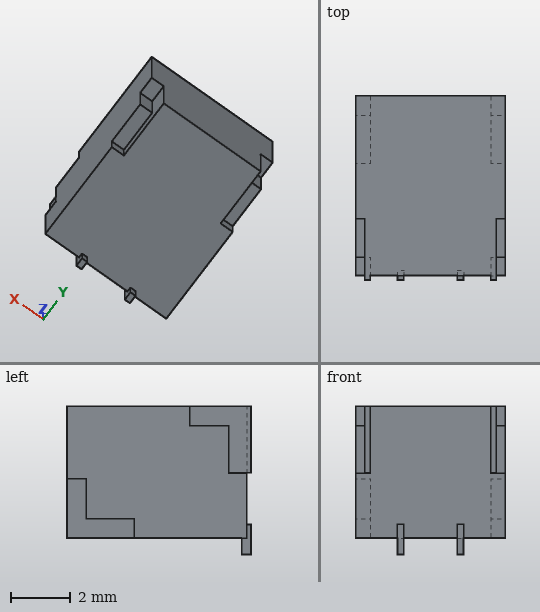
import cadquery as cq

WIDTH = 5.0
LENGTH = 6.15
HEIGHT = 4.95
BODY_LENGTH = 6.0
BODY_HEIGHT = 4.405
FRONT_Y = -LENGTH

PLATE_INSET = 0.3
PLATE_THICKNESS = 0.195
PLATE_ARM_LENGTH = 2.04
PLATE_LEG_HEIGHT = 2.225
PLATE_ARM_HEIGHT = 0.65
PLATE_LEG_WIDTH = 0.75
PLATE_CLEARANCE = 0.02

REAR_LEG_HEIGHT = 1.98
REAR_ARM_LENGTH = 2.25
REAR_LEG_WIDTH = 0.65
REAR_ARM_HEIGHT = 0.65

PIN_WIDTH = 0.215
PIN_DEPTH = 0.32
PIN_HEIGHT = 1.0
PIN_SPACING = 2.0
PIN_BOTTOM = BODY_HEIGHT - HEIGHT


def l_prism(corner, arm_tip, leg_tip, leg_inner, arm_inner, x_start, thickness):
    """Extrude an L in the YZ plane toward +X from its outer corner and arm limits."""
    corner_y, corner_z = corner
    outline = [
        corner,
        (arm_tip, corner_z),
        (arm_tip, arm_inner),
        (leg_inner, arm_inner),
        (leg_inner, leg_tip),
        (corner_y, leg_tip),
    ]
    return cq.Workplane("YZ").workplane(offset=x_start).polyline(outline).close().extrude(thickness)


def front_l(x_start, thickness, leg_tip):
    """L lying along the top front corner, reaching the foremost plane."""
    return l_prism(
        (FRONT_Y, BODY_HEIGHT),
        FRONT_Y + PLATE_ARM_LENGTH,
        leg_tip,
        FRONT_Y + PLATE_LEG_WIDTH,
        BODY_HEIGHT - PLATE_ARM_HEIGHT,
        x_start,
        thickness,
    )


def rear_l(x_start, thickness):
    """L lying along the bottom rear corner."""
    return l_prism(
        (0, 0),
        -REAR_ARM_LENGTH,
        REAR_LEG_HEIGHT,
        -REAR_LEG_WIDTH,
        REAR_ARM_HEIGHT,
        x_start,
        thickness,
    )


def both_sides(left_shape):
    return left_shape.union(left_shape.mirror("YZ"))


left_face = -WIDTH / 2
plate_bottom = BODY_HEIGHT - PLATE_LEG_HEIGHT
recess_bottom = plate_bottom - PLATE_CLEARANCE

body = cq.Workplane("XY").box(WIDTH, BODY_LENGTH, BODY_HEIGHT, centered=(True, False, False))
body = body.translate((0, -BODY_LENGTH, 0))

recess_depth = PLATE_INSET + PLATE_THICKNESS
body = body.cut(both_sides(front_l(left_face, recess_depth, recess_bottom)))
body = body.cut(both_sides(rear_l(left_face, recess_depth)))
plates = both_sides(front_l(left_face + PLATE_INSET, PLATE_THICKNESS, plate_bottom))
result = body.union(plates)

for pin_x in (-PIN_SPACING / 2, PIN_SPACING / 2):
    pin = cq.Workplane("XY").box(PIN_WIDTH, PIN_DEPTH, PIN_HEIGHT, centered=(True, False, False))
    result = result.union(pin.translate((pin_x, FRONT_Y, PIN_BOTTOM)))